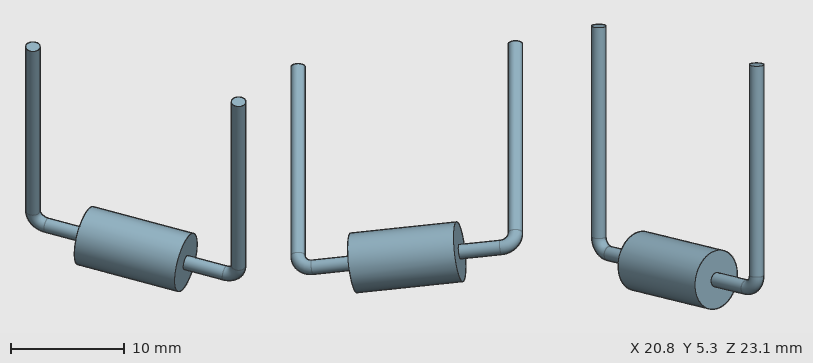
import cadquery as cq

total_width = 20.8
total_height = 23.05
body_diameter = 5.3
body_length = 9.52
lead_diameter = 1.3
bend_radius = lead_diameter

lead_x = (total_width - lead_diameter) / 2
lead_top = total_height - body_diameter / 2


def make_body():
    """Cylinder centred on the origin, lying along X."""
    return (
        cq.Workplane("YZ", origin=(-body_length / 2, 0, 0))
        .circle(body_diameter / 2)
        .extrude(body_length)
    )


def make_lead():
    """Right-hand lead: out of the body centre, round the bend and up."""
    path = (
        cq.Workplane("XZ")
        .lineTo(lead_x - bend_radius, 0)
        .tangentArcPoint((lead_x, bend_radius), relative=False)
        .lineTo(lead_x, lead_top)
    )
    return cq.Workplane("YZ").circle(lead_diameter / 2).sweep(path)


right_lead = make_lead()
left_lead = right_lead.mirror("YZ")
result = make_body().union(right_lead).union(left_lead)